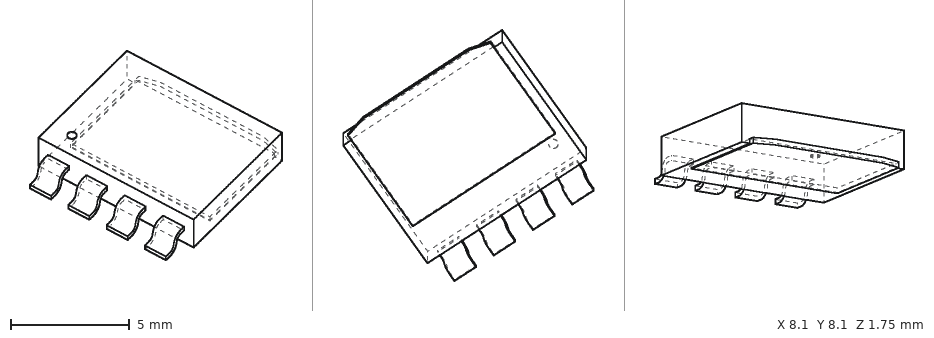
import cadquery as cq
import math

HOUSING_WIDTH = 8.1
HOUSING_DEPTH = 6.3
HOUSING_HEIGHT = 1.7
STANDOFF = 0.05

TAB_WIDTH = 7.265
TAB_LENGTH = 5.1
TAB_THICKNESS = 0.25
TAB_OVERHANG = 0.51
TAB_CORNER_X = 0.95
TAB_CORNER_Y = 0.26

LEAD_COUNT = 4
LEAD_PITCH = 2.0
LEAD_WIDTH = 1.1
LEAD_THICKNESS = 0.23
LEAD_REACH = 8.1 - HOUSING_DEPTH - TAB_OVERHANG
LEAD_RISE = 0.96
SHOULDER_LENGTH = 0.26
FOOT_LENGTH = 0.29
BEND_ANGLE = math.radians(77.0)
FIRST_LEAD_X = -LEAD_PITCH * (LEAD_COUNT - 1) / 2

MARKER_DIAMETER = 0.405
MARKER_DEPTH = 0.05
MARKER_Y = 0.95


def make_tab():
    """Flat tab with its two rear corners cut at a slant."""
    half_width = TAB_WIDTH / 2
    rear_y = HOUSING_DEPTH + TAB_OVERHANG
    front_y = rear_y - TAB_LENGTH
    corner_y = rear_y - TAB_CORNER_Y
    rear_half_width = half_width - TAB_CORNER_X
    return (
        cq.Workplane("XY")
        .moveTo(-half_width, front_y)
        .lineTo(half_width, front_y)
        .lineTo(half_width, corner_y)
        .lineTo(rear_half_width, rear_y)
        .lineTo(-rear_half_width, rear_y)
        .lineTo(-half_width, corner_y)
        .close()
        .extrude(TAB_THICKNESS)
    )


def make_marker():
    """Disc whose top is flush with the top of the housing."""
    return (
        cq.Workplane("XY", origin=(FIRST_LEAD_X, MARKER_Y, STANDOFF + HOUSING_HEIGHT))
        .circle(MARKER_DIAMETER / 2)
        .extrude(-MARKER_DEPTH)
    )


def make_housing(tab, marker):
    """Plain block with recesses that fit the tab and the marker."""
    block = (
        cq.Workplane("XY", origin=(0, HOUSING_DEPTH / 2, STANDOFF))
        .rect(HOUSING_WIDTH, HOUSING_DEPTH)
        .extrude(HOUSING_HEIGHT)
    )
    return block.cut(tab).cut(marker)


def arc_point(centre, radius, angle, side):
    """Point on a bend, the given angle away from its upper (side 1) or lower (side -1) end."""
    centre_y, centre_z = centre
    return (
        centre_y - side * radius * math.sin(angle),
        centre_z + side * radius * math.cos(angle),
    )


def make_lead(center_x):
    """Lead with a flat shoulder, two equal opposite bends, a straight slope and a flat foot."""
    run = LEAD_REACH - SHOULDER_LENGTH - FOOT_LENGTH
    drop = LEAD_RISE - LEAD_THICKNESS
    sine = math.sin(BEND_ANGLE)
    cosine = math.cos(BEND_ANGLE)
    mid_radius = (run * sine - drop * cosine) / (2 * (1 - cosine))
    inner_radius = mid_radius - LEAD_THICKNESS / 2
    outer_radius = mid_radius + LEAD_THICKNESS / 2

    foot_z = STANDOFF
    top_z = foot_z + LEAD_RISE
    tip_y = -LEAD_REACH
    shoulder_y = -SHOULDER_LENGTH
    foot_y = tip_y + FOOT_LENGTH
    upper_centre = (shoulder_y, top_z - outer_radius)
    lower_centre = (foot_y, foot_z + outer_radius)
    half_angle = BEND_ANGLE / 2

    return (
        cq.Workplane("YZ", origin=(center_x - LEAD_WIDTH / 2, 0, 0))
        .moveTo(0, top_z)
        .lineTo(shoulder_y, top_z)
        .threePointArc(
            arc_point(upper_centre, outer_radius, half_angle, 1),
            arc_point(upper_centre, outer_radius, BEND_ANGLE, 1),
        )
        .lineTo(*arc_point(lower_centre, inner_radius, BEND_ANGLE, -1))
        .threePointArc(
            arc_point(lower_centre, inner_radius, half_angle, -1),
            arc_point(lower_centre, inner_radius, 0, -1),
        )
        .lineTo(tip_y, foot_z + LEAD_THICKNESS)
        .lineTo(tip_y, foot_z)
        .lineTo(foot_y, foot_z)
        .threePointArc(
            arc_point(lower_centre, outer_radius, half_angle, -1),
            arc_point(lower_centre, outer_radius, BEND_ANGLE, -1),
        )
        .lineTo(*arc_point(upper_centre, inner_radius, BEND_ANGLE, 1))
        .threePointArc(
            arc_point(upper_centre, inner_radius, half_angle, 1),
            arc_point(upper_centre, inner_radius, 0, 1),
        )
        .lineTo(0, top_z - LEAD_THICKNESS)
        .close()
        .extrude(LEAD_WIDTH)
    )


tab = make_tab()
marker = make_marker()
housing = make_housing(tab, marker)
leads = [make_lead(FIRST_LEAD_X + index * LEAD_PITCH) for index in range(LEAD_COUNT)]

result = cq.Compound.makeCompound(
    [housing.val(), tab.val(), marker.val(), *[lead.val() for lead in leads]]
)